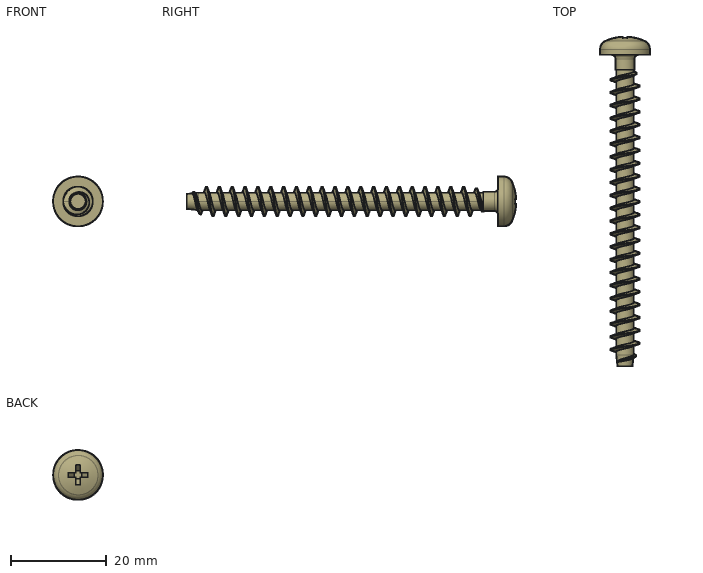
import cadquery as cq
import math

total_length = 68.9

head_diameter = 10.5
head_height = 3.85
rim_height = 1.2
crown_radius = 9.65

wing_width = 0.95
recess_top_radius = 2.2
recess_bottom_radius = 0.8
recess_depth = 2.5

shank_radius = 2.03
shank_length = 3.1
neck_fillet = 0.75
core_radius = 1.85
tip_radius = 1.6
tip_taper_length = 2.4

pitch = 2.7
thread_radius = 3.1
root_radius = 1.45
crest_width = 0.15
root_width = 1.2
full_turns = 21
thread_start_y = -64.3

head_radius = head_diameter / 2
inner_corner_radius = wing_width / math.sqrt(2)
recess_rim_y = head_height - crown_radius + math.sqrt(crown_radius**2 - inner_corner_radius**2)
tip_y = recess_rim_y - total_length


def make_body():
    """Head, neck, shank and core turned as one profile."""
    dome_rise = head_height - rim_height
    edge_radius = dome_rise * crown_radius - (dome_rise**2 + head_radius**2) / 2
    edge_radius /= crown_radius - head_radius
    edge_x = head_radius - edge_radius
    crown_y = head_height - crown_radius
    edge_angle = math.atan2(rim_height - crown_y, edge_x)

    def crown_point(angle):
        return crown_radius * math.cos(angle), crown_y + crown_radius * math.sin(angle)

    def edge_point(angle):
        return edge_x + edge_radius * math.cos(angle), rim_height + edge_radius * math.sin(angle)

    profile = (
        cq.Workplane("XY")
        .moveTo(0, tip_y)
        .lineTo(tip_radius, tip_y)
        .lineTo(core_radius, tip_y + tip_taper_length)
        .lineTo(core_radius, -shank_length)
        .lineTo(shank_radius, -shank_length)
        .lineTo(shank_radius, -neck_fillet)
        .radiusArc((shank_radius + neck_fillet, 0), neck_fillet)
        .lineTo(head_radius, 0)
        .lineTo(head_radius, rim_height)
        .threePointArc(edge_point(edge_angle / 2), edge_point(edge_angle))
        .threePointArc(crown_point((edge_angle + math.pi / 2) / 2), (0, head_height))
        .close()
    )
    return profile.revolve(360, (0, 0), (0, 1))


def helix(start_radius, end_radius, height, shift):
    """Right-hand helix from z = shift up, starting on +X; conical when the radii differ."""
    if start_radius == end_radius:
        wire = cq.Wire.makeHelix(pitch, height, start_radius)
    else:
        taper = math.atan2(end_radius - start_radius, height)
        slant = 1 / math.cos(taper)
        wire = cq.Wire.makeHelix(pitch * slant, height * slant, start_radius, angle=math.degrees(taper))
    return wire.Edges()[0].translate(cq.Vector(0, 0, shift))


def ridge(start_crest, end_crest, height):
    """Helical ridge whose crest radius changes evenly from start to end."""
    edges = [
        helix(root_radius, root_radius, height, -root_width / 2),
        helix(start_crest, end_crest, height, -crest_width / 2),
        helix(start_crest, end_crest, height, crest_width / 2),
        helix(root_radius, root_radius, height, root_width / 2),
    ]
    sides = [cq.Face.makeRuledSurface(edges[i], edges[(i + 1) % 4]) for i in range(4)]
    caps = []
    for end in (0, 1):
        corners = [edge.positionAt(end) for edge in edges]
        caps.append(cq.Face.makeFromWires(cq.Wire.makePolygon(corners, close=True)))
    return cq.Solid.makeSolid(cq.Shell.makeShell(sides + caps))


def make_thread():
    """Full thread with one turn of fading crest at each end, starting on -X near the point."""
    full_length = full_turns * pitch
    sections = [
        (tip_radius, thread_radius, pitch, 0),
        (thread_radius, thread_radius, full_length, pitch),
        (thread_radius, core_radius, pitch, pitch + full_length),
    ]
    thread = cq.Workplane("XY")
    for start_crest, end_crest, length, base in sections:
        thread = thread.add(ridge(start_crest, end_crest, length).translate(cq.Vector(0, 0, base)))
    thread = thread.rotate((0, 0, 0), (0, 0, 1), 180).rotate((0, 0, 0), (1, 0, 0), -90)
    return thread.translate((0, thread_start_y, 0))


def make_recess():
    """Two crossed wings that narrow towards the bottom of the recess."""
    bottom_y = head_height - recess_depth
    wing = (
        cq.Workplane("XY")
        .polyline(
            [
                (-recess_top_radius, head_height),
                (-recess_bottom_radius, bottom_y),
                (recess_bottom_radius, bottom_y),
                (recess_top_radius, head_height),
            ]
        )
        .close()
        .extrude(wing_width / 2, both=True)
    )
    return wing.union(wing.rotate((0, 0, 0), (0, 1, 0), 90))


result = make_body().cut(make_recess())
for section in make_thread().vals():
    result = result.union(section)